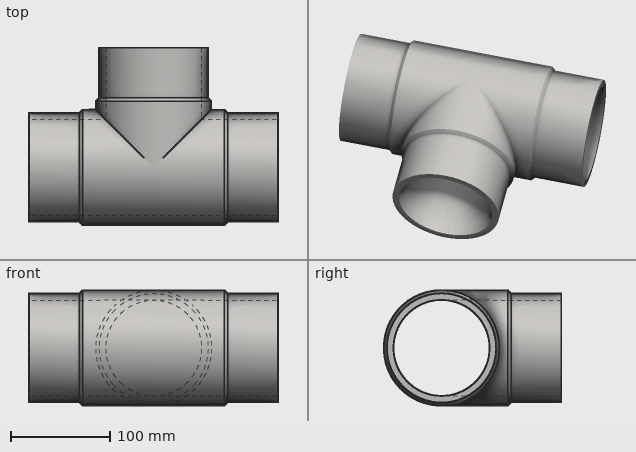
import cadquery as cq

run_length = 251.0
branch_length = 120.7
spigot_length = 50.7
spigot_diameter = 110.0
body_diameter = 116.7
bore_diameter = 96.6

spigot_radius = spigot_diameter / 2
body_radius = body_diameter / 2
bore_radius = bore_diameter / 2
chamfer = body_radius - spigot_radius


def arm(direction, length):
    """Solid arm from the tee centre: thick body, chamfered step, thin spigot."""
    body_end = length - spigot_length
    plane = cq.Plane(origin=(0, 0, 0), xDir=(0, 0, 1), normal=direction)
    spigot = cq.Workplane(plane).circle(spigot_radius).extrude(length)
    body = cq.Workplane(plane).circle(body_radius).extrude(body_end)
    body = body.faces(cq.selectors.DirectionMinMaxSelector(cq.Vector(*direction))).chamfer(chamfer)
    return body.union(spigot)


half_run = run_length / 2
arms = [((1, 0, 0), half_run), ((-1, 0, 0), half_run), ((0, 1, 0), branch_length)]

result = arm(*arms[0])
for direction, length in arms[1:]:
    result = result.union(arm(direction, length))

run_bore = cq.Workplane("YZ").circle(bore_radius).extrude(half_run, both=True)
branch_bore = cq.Workplane("XZ").circle(bore_radius).extrude(-branch_length)
result = result.cut(run_bore).cut(branch_bore)